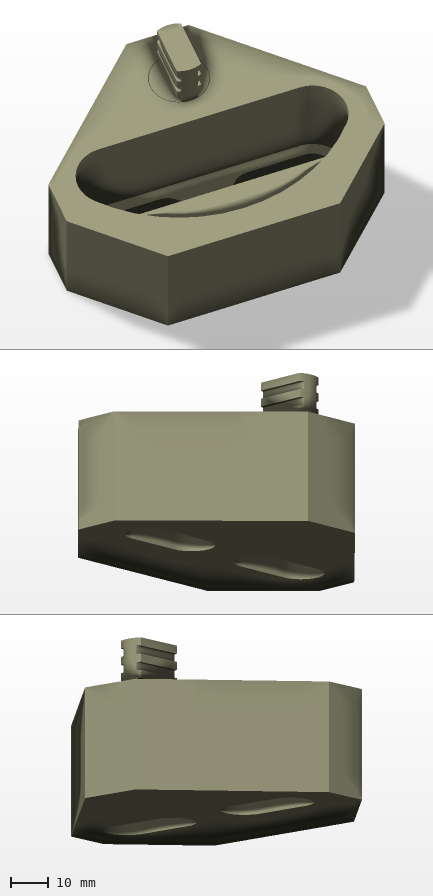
import cadquery as cq
import math

body_length = 70.0
body_width = 90.0
total_height = 42.9
peg_height = 13.1
body_height = total_height - peg_height
left_face_width = 17.6
right_face_width = 48.8
left_cut = (body_width - left_face_width) / 2
right_cut = (body_width - right_face_width) / 2

peg_x = 15.6
peg_diameter = 16.0
hole_diameter = 16.3
hole_depth = peg_height / 6
peg_thickness = 6.8
peg_neck_thickness = 4.7
groove_count = 3
groove_height = peg_height / (2 * groove_count)

recess_x = 39.6
recess_width = 19.0
recess_length = 75.9
recess_depth = 25.0
slot_margin = 3.2
slot_width = recess_width - 2 * slot_margin
slot_length = 28.4
slot_y = recess_length / 2 - slot_margin - slot_length / 2

end_radius = recess_width / 2
end_y = recess_length / 2 - end_radius
end_distance = math.hypot(recess_x - peg_x, end_y)
pocket_radius = end_distance + end_radius
tangent_x = peg_x + pocket_radius * (recess_x - peg_x) / end_distance
pocket_depth = 7.0


def make_body():
    half_width = body_width / 2
    outline = [
        (0, -left_face_width / 2),
        (left_cut, -half_width),
        (body_length - right_cut, -half_width),
        (body_length, -right_face_width / 2),
        (body_length, right_face_width / 2),
        (body_length - right_cut, half_width),
        (left_cut, half_width),
        (0, left_face_width / 2),
    ]
    return cq.Workplane("XY").polyline(outline).close().extrude(body_height)


def make_slot(y, length, width, floor_z):
    """Round-ended cutter along Y, from floor_z up to the top of the body."""
    return (
        cq.Workplane("XY", origin=(recess_x, y, floor_z))
        .slot2D(length, width, 90)
        .extrude(body_height - floor_z)
    )


def make_pocket():
    """Part of a disc about the peg axis, kept to the right of its tangent points with the recess."""
    floor_z = body_height - pocket_depth
    disc = cq.Workplane("XY", origin=(peg_x, 0, floor_z)).circle(pocket_radius).extrude(pocket_depth)
    right_side = cq.Workplane("XY", origin=(tangent_x, 0, floor_z)).box(
        pocket_radius, recess_length, pocket_depth, centered=(False, True, False)
    )
    return disc.intersect(right_side)


def make_peg():
    base_z = body_height - hole_depth
    height = peg_height + hole_depth
    foot = cq.Workplane("XY", origin=(peg_x, 0, base_z)).circle(peg_diameter / 2).extrude(hole_depth)
    stem = cq.Workplane("XY", origin=(peg_x, 0, base_z)).circle(peg_diameter / 2).extrude(height)
    profile = cq.Workplane("XY", origin=(peg_x, 0, base_z)).box(
        peg_diameter, peg_neck_thickness, height, centered=(True, True, False)
    )
    for index in range(groove_count):
        ridge_z = body_height + (2 * index + 1) * groove_height
        ridge = cq.Workplane("XY", origin=(peg_x, 0, ridge_z)).box(
            peg_diameter, peg_thickness, groove_height, centered=(True, True, False)
        )
        profile = profile.union(ridge)
    return stem.intersect(profile).union(foot)


result = make_body()
result = result.cut(make_slot(0, recess_length, recess_width, body_height - recess_depth))
result = result.cut(make_pocket())
for y in (-slot_y, slot_y):
    result = result.cut(make_slot(y, slot_length, slot_width, 0))

peg_hole = (
    cq.Workplane("XY", origin=(peg_x, 0, body_height - hole_depth))
    .circle(hole_diameter / 2)
    .extrude(hole_depth)
)
result = result.cut(peg_hole).union(make_peg())